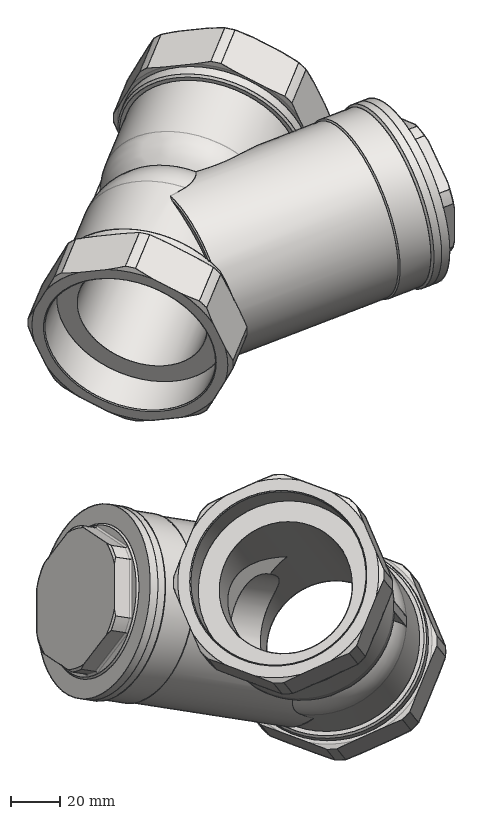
import cadquery as cq
import math

overall_length = 146.0
half_length = overall_length / 2
tube_radius = 37.3
bore_radius = 55.0 / 2
socket_radius = 72.2 / 2
socket_depth = 17.6
socket_chamfer = 0.5

octagon_sides = 8
octagon_corner_radius = 86.9 / 2
octagon_across_flats = 81.9
octagon_length = 21.7
octagon_face_radius = 41.5
outer_chamfer_length = 0.9
inner_chamfer_length = 0.5

shoulder_radius = 80.0 / 2
shoulder_length = 5.4
mouth_shoulder_length = 4.5
shoulder_chamfer = 0.9

waist_half_length = 15.0
waist_radius = 32.5
rib_width = 4.3

branch_origin_y = -37.2
branch_angle = 45
branch_radius = 38.4
branch_start = 11.8
seat_radius = 21.9
chamber_radius = 64.0 / 2
chamber_start = 32.3
collar_radius = 78.0 / 2
collar_start = 91.8
branch_edge_chamfer = 0.6
mouth = 111.1

disc_thickness = 3.8
boss_radius = 64.0 / 2
boss_top_radius = 62.5 / 2
boss_height = 0.8
head_sides = 6
head_across_flats = 55.1
head_corner_radius = 30.1
head_height = 8.3
head_face_radius = 29.0
head_chamfer_length = 0.6
head_fillet = 0.8
selection_margin = 0.2


def rounded_polygon(sides, across_flats, corner_radius, length):
    """Prism along Z with a corner on +X, its corners trimmed to a circle."""
    corner_diameter = across_flats / math.cos(math.pi / sides)
    prism = cq.Workplane("XY").polygon(sides, corner_diameter).extrude(length)
    return prism.intersect(cq.Workplane("XY").circle(corner_radius).extrude(length))


def chamfered_disc(radius, start, end, chamfer):
    """Disc along Z between two heights, chamfered round its start face."""
    disc = cq.Workplane("XY", origin=(0, 0, start)).circle(radius).extrude(end - start)
    return disc.faces("<Z").chamfer(chamfer)


def along_y(shape):
    """Turn a shape built along Z so that it points along +Y."""
    return shape.rotate((0, 0, 0), (1, 0, 0), -90)


def along_branch(shape):
    """Turn a shape built along Z so that it points along the branch axis."""
    turned = along_y(shape).rotate((0, 0, 0), (0, 0, 1), branch_angle - 90)
    return turned.translate((0, branch_origin_y, 0))


def make_waisted_tube():
    """Solid tube whose surface curves in from both sides to a crease at the middle."""
    dip = tube_radius - waist_radius
    arc_radius = (waist_half_length**2 + dip**2) / (2 * dip)
    half_angle = math.asin(waist_half_length / arc_radius) / 2
    mid_x = tube_radius - arc_radius * (1 - math.cos(half_angle))
    mid_y = waist_half_length - arc_radius * math.sin(half_angle)
    profile = (
        cq.Workplane("XY")
        .moveTo(0, -half_length)
        .lineTo(tube_radius, -half_length)
        .lineTo(tube_radius, -waist_half_length)
        .threePointArc((mid_x, -mid_y), (waist_radius, 0))
        .threePointArc((mid_x, mid_y), (tube_radius, waist_half_length))
        .lineTo(tube_radius, half_length)
        .lineTo(0, half_length)
        .close()
    )
    return profile.revolve(360, (0, 0, 0), (0, 1, 0))


def make_rib():
    """Flat-sided rib across the waist, level with the tube surface."""
    rib = cq.Workplane("XY").box(tube_radius, 2 * waist_half_length, rib_width, centered=(False, True, True))
    return rib.translate((-tube_radius, 0, 0))


def make_run_end():
    """Octagon and shoulder of the +Y end."""
    prism = rounded_polygon(octagon_sides, octagon_across_flats, octagon_corner_radius, octagon_length)
    chamfer_width = octagon_corner_radius - octagon_face_radius
    trim = (
        cq.Workplane("XY")
        .circle(octagon_corner_radius)
        .extrude(octagon_length)
        .faces("<Z")
        .chamfer(inner_chamfer_length, chamfer_width)
        .faces(">Z")
        .chamfer(outer_chamfer_length, chamfer_width)
    )
    octagon_start = half_length - octagon_length
    octagon = prism.intersect(trim).translate((0, 0, octagon_start))
    shoulder = chamfered_disc(shoulder_radius, octagon_start - shoulder_length, octagon_start, shoulder_chamfer)
    return along_y(octagon.union(shoulder))


def make_branch():
    """Solid branch with its collar and mouth shoulder."""
    barrel = chamfered_disc(branch_radius, branch_start, mouth, branch_edge_chamfer)
    collar = chamfered_disc(collar_radius, collar_start, mouth, branch_edge_chamfer)
    shoulder = chamfered_disc(shoulder_radius, mouth - mouth_shoulder_length, mouth, shoulder_chamfer)
    return along_branch(barrel.union(collar).union(shoulder))


def make_socket():
    """Cutter for the socket in the +Y end, with its mouth chamfer."""
    socket = cq.Workplane("XY", origin=(0, 0, half_length - socket_depth)).circle(socket_radius).extrude(socket_depth)
    flare = (
        cq.Workplane("XY", origin=(0, 0, half_length - socket_chamfer))
        .circle(socket_radius)
        .workplane(offset=socket_chamfer)
        .circle(socket_radius + socket_chamfer)
        .loft()
    )
    return along_y(socket.union(flare))


def make_branch_cavity():
    """Cutter for the narrow seat next to the bore and the wide chamber beyond it."""
    seat = cq.Workplane("XY").circle(seat_radius).extrude(mouth)
    chamber = cq.Workplane("XY", origin=(0, 0, chamber_start)).circle(chamber_radius).extrude(mouth - chamber_start)
    return along_branch(seat.union(chamber))


def make_body():
    """Housing: run, branch and octagonal ends, hollowed by the bores and sockets."""
    body = make_waisted_tube().union(make_rib()).union(make_branch())
    run_end = make_run_end()
    socket = make_socket()
    bore = along_y(cq.Workplane("XY").circle(bore_radius).extrude(half_length, both=True))
    body = body.union(run_end).union(run_end.mirror("XZ"))
    return body.cut(bore).cut(make_branch_cavity()).cut(socket).cut(socket.mirror("XZ"))


def make_head():
    """Hexagonal head along Z with a corner on +Y, chamfered round its top."""
    trim = (
        cq.Workplane("XY")
        .circle(head_corner_radius)
        .extrude(head_height)
        .faces(">Z")
        .chamfer(head_chamfer_length, head_corner_radius - head_face_radius)
    )
    head = rounded_polygon(head_sides, head_across_flats, head_corner_radius, head_height).intersect(trim)
    return head.rotate((0, 0, 0), (0, 0, 1), 180 / head_sides)


def make_cap():
    """Cap closing the branch, with a fillet where the head meets the boss."""
    disc_top = mouth + disc_thickness
    boss_top = disc_top + boss_height
    disc = cq.Workplane("XY", origin=(0, 0, mouth)).circle(shoulder_radius).extrude(disc_thickness)
    boss = (
        cq.Workplane("XY", origin=(0, 0, disc_top))
        .circle(boss_radius)
        .workplane(offset=boss_height)
        .circle(boss_top_radius)
        .loft()
    )
    cap = disc.union(boss).union(make_head().translate((0, 0, boss_top)))
    reach = head_corner_radius + selection_margin
    head_base = cq.selectors.BoxSelector(
        (-reach, -reach, boss_top - selection_margin),
        (reach, reach, boss_top + selection_margin),
        boundingbox=True,
    )
    return along_branch(cap.edges(head_base).fillet(head_fillet))


body = make_body()
cap = make_cap()
result = cq.Compound.makeCompound([body.val(), cap.val()])